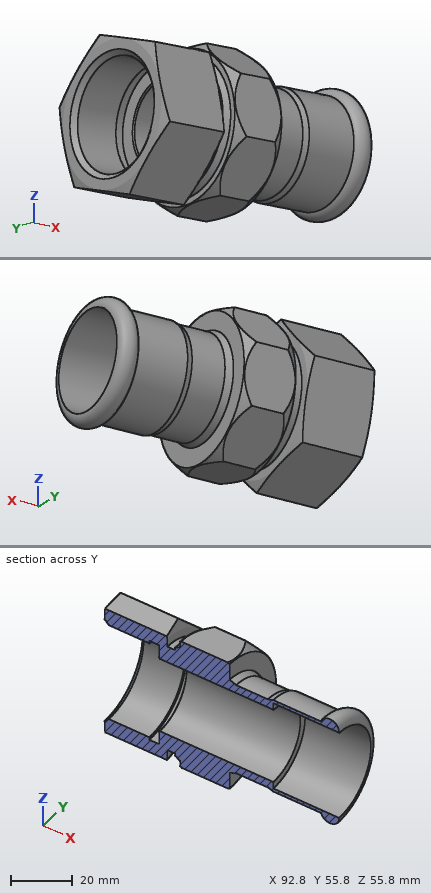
import cadquery as cq
import math

length = 92.8
facet_turn = 15.0

hex_corner_radius = 28.9
hex_length = 25.0
hex_face_diameter = 49.7
hex_chamfer = 1.1

collar_diameter = 43.4
collar_end = 27.8
flare_start_diameter = 45.0
flare_end_diameter = 47.8

oct_corner_radius = 28.3
oct_start = 29.9
oct_end = 49.6
oct_face_diameter = 52.0
oct_chamfer = 3.8

neck_shoulder_diameter = 39.0
neck_start = 52.2
neck_diameter = 37.0
sleeve_taper_start = 64.7
sleeve_start = 66.8
sleeve_diameter = 38.4

bead_diameter = 43.6
bead_width = 7.4

socket_diameter = 39.0
socket_mouth_diameter = 42.5
socket_chamfer = 1.8
undercut_diameter = 41.1
undercut_start = 17.8
socket_depth = 21.5
throat_mouth_diameter = 31.2
throat_chamfer = 0.4
through_diameter = 30.0
sleeve_bore_diameter = 35.4
sleeve_bore_start = sleeve_start


def revolve_profile(points):
    """Turn a closed outline of (x, radius) points about the X axis."""
    return cq.Workplane("XY").polyline(points).close().revolve(360, (0, 0, 0), (1, 0, 0))


def chamfered_nut(sides, corner_radius, start, end, face_diameter, chamfer):
    """Polygonal prism along X whose corners are cut by a cone at both ends."""
    angles = [math.radians(facet_turn + 360 * i / sides) for i in range(sides)]
    corners = [(corner_radius * math.cos(a), corner_radius * math.sin(a)) for a in angles]
    prism = cq.Workplane("YZ", origin=(start, 0, 0)).polyline(corners).close().extrude(end - start)
    face_radius = face_diameter / 2
    envelope = revolve_profile([
        (start, 0),
        (start, face_radius),
        (start + chamfer, corner_radius),
        (end - chamfer, corner_radius),
        (end, face_radius),
        (end, 0),
    ])
    return prism.intersect(envelope)


def turned_body():
    """Collar, flare, neck and sleeve as one solid of revolution."""
    bead_center = length - bead_width / 2
    return revolve_profile([
        (0, 0),
        (0, collar_diameter / 2),
        (collar_end, collar_diameter / 2),
        (collar_end, flare_start_diameter / 2),
        (oct_start, flare_end_diameter / 2),
        (oct_end, flare_end_diameter / 2),
        (oct_end, neck_shoulder_diameter / 2),
        (neck_start, neck_diameter / 2),
        (sleeve_taper_start, neck_diameter / 2),
        (sleeve_start, sleeve_diameter / 2),
        (bead_center, sleeve_diameter / 2),
        (bead_center, 0),
    ])


def sleeve_bead():
    """Bead with straight flanks and a half-round crown."""
    round_radius = bead_width / 2
    crown_base = bead_diameter / 2 - round_radius
    bead_start = length - bead_width
    return (
        cq.Workplane("XY")
        .moveTo(bead_start, 0)
        .lineTo(bead_start, crown_base)
        .threePointArc((bead_start + round_radius, bead_diameter / 2), (length, crown_base))
        .lineTo(length, 0)
        .close()
        .revolve(360, (0, 0, 0), (1, 0, 0))
    )


def bore():
    """Chamfered socket with an undercut, chamfered throat and sleeve bore."""
    return revolve_profile([
        (0, 0),
        (0, socket_mouth_diameter / 2),
        (socket_chamfer, socket_diameter / 2),
        (undercut_start, socket_diameter / 2),
        (undercut_start, undercut_diameter / 2),
        (socket_depth, undercut_diameter / 2),
        (socket_depth, throat_mouth_diameter / 2),
        (socket_depth + throat_chamfer, through_diameter / 2),
        (sleeve_bore_start, through_diameter / 2),
        (sleeve_bore_start, sleeve_bore_diameter / 2),
        (length, sleeve_bore_diameter / 2),
        (length, 0),
    ])


hex_nut = chamfered_nut(6, hex_corner_radius, 0, hex_length, hex_face_diameter, hex_chamfer)
oct_nut = chamfered_nut(8, oct_corner_radius, oct_start, oct_end, oct_face_diameter, oct_chamfer)

result = turned_body().union(hex_nut).union(oct_nut).union(sleeve_bead()).cut(bore())